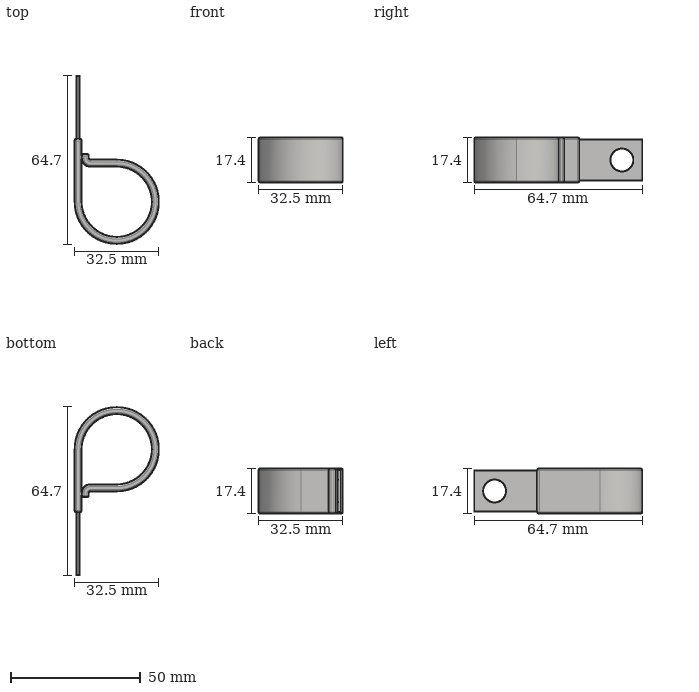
import cadquery as cq
import math

overall_length = 64.65
loop_diameter = 32.5
band_width = 17.4
edge_radius = 0.8
tab_thickness = 1.2
sleeve_end_y = 24.25
hook_end_y = 18.4
hook_inner_radius = 0.5
hole_diameter = 8.7
hole_to_tab_end = 7.8

band_thickness = tab_thickness + 2 * edge_radius
tab_width = band_width - 2 * edge_radius
outer_radius = loop_diameter / 2
inner_radius = outer_radius - band_thickness
tab_end_y = overall_length - outer_radius

hook_left_x = -inner_radius
hook_right_x = hook_left_x + band_thickness
hook_outer_radius = hook_inner_radius + band_thickness
hook_center_x = hook_right_x + hook_inner_radius
hook_center_y = outer_radius + hook_inner_radius


def hook_bend_middle(radius):
    """Return the middle point of a hook bend arc with the given radius."""
    offset = radius * math.sqrt(0.5)
    return hook_center_x - offset, hook_center_y - offset


def rounded_band(outline):
    """Extrude a band outline and round its rims and free end, leaving the joint at y = 0 sharp."""
    band = outline.close().extrude(band_width / 2, both=True)
    rims = band.faces("|Z").edges()
    free_end = band.faces(">Y").edges()
    joint = cq.selectors.NearestToPointSelector((outer_radius - band_thickness / 2, 0, 0))
    joint_edges = band.faces(joint).edges().vals()
    round_edges = [
        edge
        for edge in rims.add(free_end).vals()
        if not any(edge.isSame(joint_edge) for joint_edge in joint_edges)
    ]
    return band.newObject(round_edges).fillet(edge_radius)


def sleeve_and_lower_loop():
    outline = (
        cq.Workplane("XY")
        .moveTo(-outer_radius, sleeve_end_y)
        .lineTo(-outer_radius, 0)
        .threePointArc((0, -outer_radius), (outer_radius, 0))
        .lineTo(inner_radius, 0)
        .threePointArc((0, -inner_radius), (-inner_radius, 0))
        .lineTo(-inner_radius, sleeve_end_y)
    )
    return rounded_band(outline)


def upper_loop_and_hook():
    diagonal = math.sqrt(0.5)
    outer_middle = (outer_radius * diagonal, outer_radius * diagonal)
    inner_middle = (inner_radius * diagonal, inner_radius * diagonal)
    outline = (
        cq.Workplane("XY")
        .moveTo(outer_radius, 0)
        .threePointArc(outer_middle, (0, outer_radius))
        .lineTo(hook_center_x, outer_radius)
        .threePointArc(hook_bend_middle(hook_inner_radius), (hook_right_x, hook_center_y))
        .lineTo(hook_right_x, hook_end_y)
        .lineTo(hook_left_x, hook_end_y)
        .lineTo(hook_left_x, hook_center_y)
        .threePointArc(hook_bend_middle(hook_outer_radius), (hook_center_x, inner_radius))
        .lineTo(0, inner_radius)
        .threePointArc(inner_middle, (inner_radius, 0))
    )
    return rounded_band(outline)


def mounting_tab():
    tab_x = -outer_radius + band_thickness / 2
    tab = cq.Workplane("XY").box(tab_thickness, tab_end_y, tab_width).translate((tab_x, tab_end_y / 2, 0))
    hole = (
        cq.Workplane("YZ", origin=(tab_x, tab_end_y - hole_to_tab_end, 0))
        .circle(hole_diameter / 2)
        .extrude(tab_thickness, both=True)
    )
    return tab.cut(hole)


result = sleeve_and_lower_loop().union(upper_loop_and_hook()).union(mounting_tab())